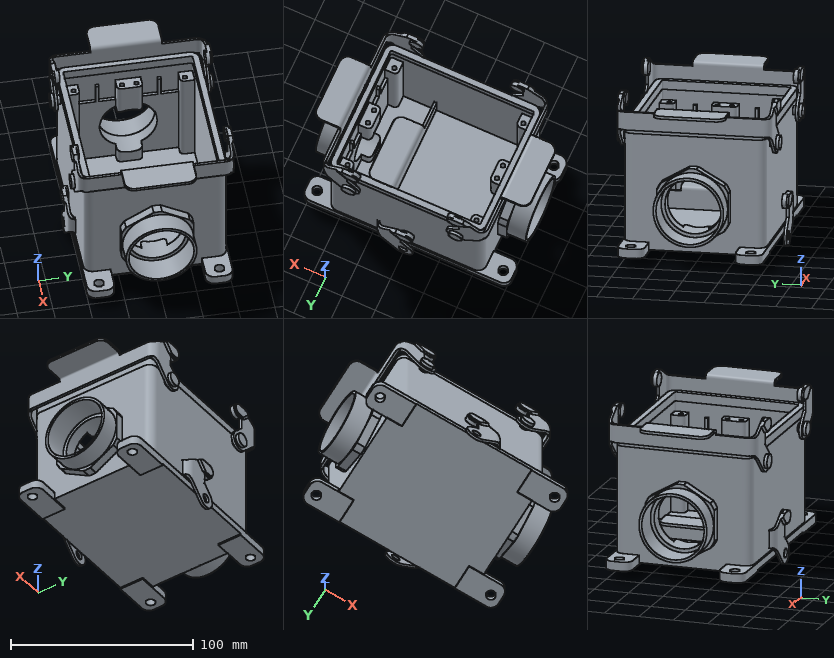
import cadquery as cq
import math

BODY_X = 93.2
BODY_Y = 79.5
BODY_CORNER_R = 5.0
RIM_TOP_Z = 72.0
RIM_HEIGHT = 5.2
RIM_BASE_Z = RIM_TOP_Z - RIM_HEIGHT
OPENING_X = 86.5
OPENING_Y = 72.0
OPENING_CORNER_R = 1.0

LEDGE_Z = 47.9
LEDGE_DEPTH = 1.8
RIB_WIDTH = 1.8
RIB_Y = 17.4
RIB_TOP_Z = 59.3

BASE_Y = 81.1
BASE_TOP_Z = 5.3
BASE_RECESS = 0.9
FOOT_OUTER_X = 62.3
FOOT_INNER_X = 37.0
FOOT_INNER_Y = 25.4
FOOT_CORNER_R = 4.9
FOOT_HOLE_D = 5.5
FOOT_HOLE_X = 56.1
FOOT_HOLE_Y = 33.5

POST_INNER_X = 35.7
POST_TOP_Z = 61.0
CORNER_POST_INNER_Y = 28.0
CORNER_POST_R = 2.5
MIDDLE_POST_Y = 14.2
MIDDLE_POST_R = 2.5
SCREW_HOLE_D = 2.5
SCREW_HOLE_DEPTH = 7.8
SCREW_X = 38.8
CORNER_SCREW_Y = 31.0
MIDDLE_SCREW_Y = 4.0

ENTRY_Z = 28.1
HEX_FLATS = 40.1
HEX_CORNER_D = 43.9
HEX_END_X = 51.9
TUBE_END_X = 63.2
TUBE_D = 39.4
TUBE_BORE_D = 36.3
ENTRY_BORE_D = 32.0
BORE_STEP_X = 48.7

LEVER_SHEET = 1.5
LEVER_HALF_Y = 43.4
LEVER_BEND_R = 4.9
WEB_OUTER_X = 17.2
WEB_INNER_X = WEB_OUTER_X - LEVER_SHEET
WEB_TOP_Z = 17.5
PIVOT_END_R = 6.0
ARM_INNER_X = 1.4
HOOK_TOP_Z = 24.1
HOOK_BOTTOM_Z = 17.1
HOOK_END_R = (HOOK_TOP_Z - HOOK_BOTTOM_Z) / 2
HOOK_SLOPE = math.radians(30)
HOOK_RAISE = 1.0
RAMP_RUN = 2.0
BUTTON_D = 8.0
BUTTON_X = -1.8
BUTTON_Z = 20.1
BUTTON_INNER_Y = 40.8
TAB_WIDTH = 39.9
TAB_END_X = 32.5
TAB_TOP_Z = 20.6
TAB_BEND_R = 2.5
TAB_CORNER_R = 5.0

PIN_D = 5.0
PIN_HEAD_D = 8.0
PIN_END_Y = 45.2
PIVOT_X = 32.2
PIVOT_Z = 62.2

SIGNS = (-1, 1)
LONG = 2 * TUBE_END_X


def block(x0, x1, y0, y1, z0, z1):
    """Axis-aligned block between opposite corners given in any order."""
    size = (abs(x1 - x0), abs(y1 - y0), abs(z1 - z0))
    return cq.Workplane("XY").box(*size).translate(((x0 + x1) / 2, (y0 + y1) / 2, (z0 + z1) / 2))


def cylinder_x(diameter, x0, x1):
    """Cylinder on the cable entry axis from x0 to x1."""
    return cq.Workplane("YZ", origin=(x0, 0, ENTRY_Z)).circle(diameter / 2).extrude(x1 - x0)


def cylinder_y(diameter, x, z, y0, y1):
    """Cylinder along Y from y0 to y1."""
    return cq.Workplane("XZ", origin=(x, y0, z)).circle(diameter / 2).extrude(y0 - y1)


def rounded_body(z0, z1):
    """Outer block of the box between two heights."""
    return block(-BODY_X / 2, BODY_X / 2, -BODY_Y / 2, BODY_Y / 2, z0, z1).edges("|Z").fillet(BODY_CORNER_R)


def opening_prism(z0, z1):
    """Open space inside the upper walls between two heights."""
    prism = block(-OPENING_X / 2, OPENING_X / 2, -OPENING_Y / 2, OPENING_Y / 2, z0, z1)
    return prism.edges("|Z").fillet(OPENING_CORNER_R)


def foot(sx, sy):
    """Mounting foot with its underside pad and screw hole."""
    plate = block(sx * FOOT_INNER_X, sx * FOOT_OUTER_X, sy * FOOT_INNER_Y, sy * BASE_Y / 2, 0, BASE_TOP_Z)
    plate = plate.edges("|Z").edges(">X" if sx > 0 else "<X").fillet(FOOT_CORNER_R)
    hole = cq.Workplane("XY").center(sx * FOOT_HOLE_X, sy * FOOT_HOLE_Y).circle(FOOT_HOLE_D / 2)
    return plate.cut(hole.extrude(BASE_TOP_Z))


def corner_post(sx, sy):
    """Single-screw post in a corner of the box."""
    post = block(sx * OPENING_X / 2, sx * POST_INNER_X, sy * OPENING_Y / 2, sy * CORNER_POST_INNER_Y,
                 BASE_TOP_Z, POST_TOP_Z)
    edge_point = (sx * POST_INNER_X, sy * CORNER_POST_INNER_Y, POST_TOP_Z / 2)
    inner_edge = cq.selectors.NearestToPointSelector(edge_point)
    return post.edges("|Z").edges(inner_edge).fillet(CORNER_POST_R)


def middle_post(sx):
    """Two-screw post in the middle of an end wall."""
    post = block(sx * OPENING_X / 2, sx * POST_INNER_X, -MIDDLE_POST_Y / 2, MIDDLE_POST_Y / 2,
                 BASE_TOP_Z, POST_TOP_Z)
    return post.edges("|Z").edges("<X" if sx > 0 else ">X").fillet(MIDDLE_POST_R)


def screw_hole(x, y):
    """Blind hole cutter going down from the top of a post."""
    top = cq.Workplane("XY", origin=(x, y, POST_TOP_Z))
    return top.circle(SCREW_HOLE_D / 2).extrude(-SCREW_HOLE_DEPTH)


def cable_entry(sx):
    """Hexagon with rounded corners carrying a round tube, before boring."""
    hexagon = cq.Workplane("YZ", origin=(sx * BODY_X / 2, 0, ENTRY_Z))
    hexagon = hexagon.transformed(rotate=(0, 0, 90)).polygon(6, HEX_FLATS / math.cos(math.pi / 6))
    hexagon = hexagon.extrude(sx * (HEX_END_X - BODY_X / 2))
    hexagon = hexagon.intersect(cylinder_x(HEX_CORNER_D, 0, sx * HEX_END_X))
    return hexagon.union(cylinder_x(TUBE_D, sx * HEX_END_X, sx * TUBE_END_X))


def pivot_pin(sx, sy):
    """Headed pin standing on a long wall; the lever plate sits between wall and head."""
    shank = cylinder_y(PIN_D, sx * PIVOT_X, PIVOT_Z, sy * BODY_Y / 2, sy * LEVER_HALF_Y)
    head = cylinder_y(PIN_HEAD_D, sx * PIVOT_X, PIVOT_Z, sy * LEVER_HALF_Y, sy * PIN_END_Y)
    return shank.union(head)


def make_housing():
    """Box with floor, base plate, feet, posts, cable entries and lever pins."""
    housing = rounded_body(BASE_RECESS, RIM_BASE_Z)
    housing = housing.union(block(-BODY_X / 2, BODY_X / 2, -BASE_Y / 2, BASE_Y / 2, BASE_RECESS, BASE_TOP_Z))
    lower_x = OPENING_X / 2 - LEDGE_DEPTH
    half_y = OPENING_Y / 2
    housing = housing.cut(block(-lower_x, lower_x, -half_y, half_y, BASE_TOP_Z, RIM_BASE_Z))
    housing = housing.cut(opening_prism(LEDGE_Z, RIM_BASE_Z))

    for sx in SIGNS:
        housing = housing.union(middle_post(sx)).union(cable_entry(sx))
        for sy in SIGNS:
            rib_y = sy * RIB_Y
            rib = block(sx * OPENING_X / 2, sx * lower_x, rib_y - RIB_WIDTH / 2, rib_y + RIB_WIDTH / 2,
                        LEDGE_Z, RIB_TOP_Z)
            housing = housing.union(rib).union(corner_post(sx, sy))
            housing = housing.union(foot(sx, sy)).union(pivot_pin(sx, sy))

    housing = housing.cut(cylinder_x(ENTRY_BORE_D, -TUBE_END_X, TUBE_END_X))
    for sx in SIGNS:
        housing = housing.cut(cylinder_x(TUBE_BORE_D, sx * BORE_STEP_X, sx * TUBE_END_X))
        for sy in SIGNS:
            housing = housing.cut(screw_hole(sx * SCREW_X, sy * CORNER_SCREW_Y))
            housing = housing.cut(screw_hole(sx * SCREW_X, sy * MIDDLE_SCREW_Y))
    return housing


def make_rim():
    """Separate frame that closes the top edge of the housing."""
    rim = rounded_body(RIM_BASE_Z, RIM_TOP_Z)
    return rim.cut(opening_prism(RIM_BASE_Z, RIM_TOP_Z))


def lever_profile():
    """Side outline of a lever, in the XZ plane about its pivot."""
    tangent = PIVOT_END_R / math.sqrt(2)
    edge_shift = PIVOT_END_R * math.sqrt(2)
    web_bottom_z = WEB_INNER_X - edge_shift
    hook_z = HOOK_TOP_Z - HOOK_END_R
    slope_start_x = WEB_INNER_X - (HOOK_TOP_Z - WEB_TOP_Z) / math.tan(HOOK_SLOPE)
    return (
        cq.Workplane("XZ")
        .moveTo(tangent, -tangent)
        .lineTo(WEB_INNER_X, web_bottom_z)
        .lineTo(WEB_OUTER_X, web_bottom_z)
        .lineTo(WEB_OUTER_X, WEB_TOP_Z)
        .lineTo(WEB_INNER_X, WEB_TOP_Z)
        .lineTo(slope_start_x, HOOK_TOP_Z)
        .lineTo(BUTTON_X, HOOK_TOP_Z)
        .threePointArc((BUTTON_X - HOOK_END_R, hook_z), (BUTTON_X, HOOK_BOTTOM_Z))
        .lineTo(ARM_INNER_X, HOOK_BOTTOM_Z)
        .lineTo(ARM_INNER_X, ARM_INNER_X + edge_shift)
        .lineTo(-tangent, tangent)
        .threePointArc((-tangent, -tangent), (tangent, -tangent))
        .close()
    )


def bent_strip():
    """Sheet folded to a U, open towards -X, tall enough to be trimmed by the profile."""
    open_x = -2 * WEB_OUTER_X
    inner_half_y = LEVER_HALF_Y - LEVER_SHEET
    outer = block(open_x, WEB_OUTER_X, -LEVER_HALF_Y, LEVER_HALF_Y, -HOOK_TOP_Z, HOOK_TOP_Z)
    inner = block(open_x, WEB_INNER_X, -inner_half_y, inner_half_y, -HOOK_TOP_Z, HOOK_TOP_Z)
    outer = outer.edges("|Z and >X").fillet(LEVER_BEND_R)
    inner = inner.edges("|Z and >X").fillet(LEVER_BEND_R - LEVER_SHEET)
    return outer.cut(inner)


def raised_hook(sy):
    """Hook end standing proud of the arm, with a ramp along a 45 degree line."""
    outer_y = LEVER_HALF_Y + HOOK_RAISE
    layer = lever_profile().extrude(PIN_END_Y, both=True)
    layer = layer.intersect(block(-WEB_OUTER_X, WEB_OUTER_X, sy * LEVER_HALF_Y, sy * outer_y,
                                  HOOK_BOTTOM_Z, HOOK_TOP_Z))
    ramp_plane = cq.Plane(origin=(ARM_INNER_X, 0, HOOK_BOTTOM_Z), xDir=(1, 0, -1), normal=(1, 0, 1))
    ramp_width = RAMP_RUN / math.sqrt(2)
    keep = (
        cq.Workplane(ramp_plane)
        .polyline([(-LONG, -outer_y), (0, -outer_y), (ramp_width, -LEVER_HALF_Y),
                   (ramp_width, LEVER_HALF_Y), (0, outer_y), (-LONG, outer_y)])
        .close()
        .extrude(LONG, both=True)
    )
    return layer.intersect(keep)


def thumb_tab():
    """Tab folded outwards from the top edge of the web."""
    bend_x = WEB_INNER_X + TAB_BEND_R
    bend_z = TAB_TOP_Z - TAB_BEND_R
    inner_r = TAB_BEND_R - LEVER_SHEET
    diagonal = math.sqrt(0.5)
    tab = (
        cq.Workplane("XZ")
        .moveTo(WEB_INNER_X, WEB_TOP_Z)
        .lineTo(WEB_INNER_X, bend_z)
        .threePointArc((bend_x - TAB_BEND_R * diagonal, bend_z + TAB_BEND_R * diagonal), (bend_x, TAB_TOP_Z))
        .lineTo(TAB_END_X, TAB_TOP_Z)
        .lineTo(TAB_END_X, TAB_TOP_Z - LEVER_SHEET)
        .lineTo(bend_x, TAB_TOP_Z - LEVER_SHEET)
        .threePointArc((bend_x - inner_r * diagonal, bend_z + inner_r * diagonal), (WEB_OUTER_X, bend_z))
        .lineTo(WEB_OUTER_X, WEB_TOP_Z)
        .close()
        .extrude(TAB_WIDTH / 2, both=True)
    )
    return tab.edges("|Z and >X").fillet(TAB_CORNER_R)


def make_lever():
    """Locking lever about a pivot at the origin, with its web on the +X side."""
    lever = bent_strip().intersect(lever_profile().extrude(LEVER_HALF_Y, both=True))
    lever = lever.union(thumb_tab())
    for sy in SIGNS:
        lever = lever.union(raised_hook(sy))
        lever = lever.union(cylinder_y(BUTTON_D, BUTTON_X, BUTTON_Z, sy * BUTTON_INNER_Y, sy * LEVER_HALF_Y))
    return lever.cut(cylinder_y(PIN_D, 0, 0, -PIN_END_Y, PIN_END_Y))


lever = make_lever()
levers = []
for turn in (0, 180):
    levers.append(lever.translate((PIVOT_X, 0, PIVOT_Z)).rotate((0, 0, 0), (0, 0, 1), turn))

levers.append(lever)
housing = make_housing().cut(lever)
rim = make_rim()

bodies = [housing, rim, *levers]
result = cq.Compound.makeCompound([body.solids().val() for body in bodies])